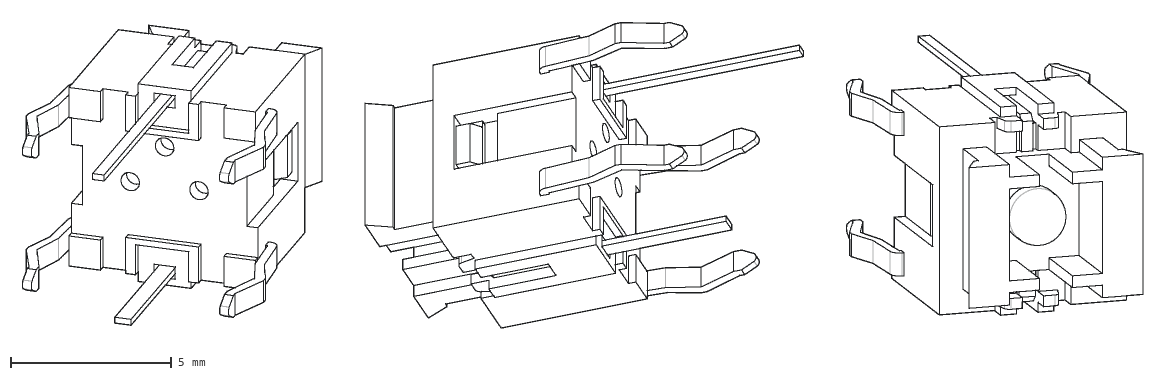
import cadquery as cq


body_half_x = 3.07
body_half_z = 3.03
body_top = 4.61
standoff_height = 0.24
standoff_x = 1.04
standoff_z = 1.02

rib_half_x = 0.87
rib_outer_z = 3.35
rib_top = 4.02
frame_half_x = 1.2
frame_inner_z = 1.8
frame_opening_z = body_half_z - standoff_z

channel_half_x = 0.35
channel_inner_z = 2.69
channel_outer_z = 3.11
channel_open_from = 1.79

pin_outer_z = body_half_z
pin_thickness = 0.2
pin_bend_y = 3.82
long_pin_width = 0.38
long_pin_end = -6.5
short_pin_width = 0.54
short_pin_end = -4.09

notch_half_x = 1.24
ear_base_half_x = 1.0
ear_shoulder_half_x = 0.89
ear_shoulder_y = 4.47
ear_flat_half_x = 0.71
ear_round_radius = 0.19
ear_inner_z = 2.68

plunger_top = 6.95
clip_half_x = 2.29
clip_half_z = 2.26
clip_plate_z = 1.85
hollow_half_x = 1.52
hollow_half_z = 1.48
clip_gap_half_x = 0.54
hollow_floor = 4.56
barb_y = 6.17
barb_base_x = 2.43
barb_tip_x = 2.85

lamp_diameter = 1.8
lamp_dome_y = 5.03

pocket_half_z = 1.0
pocket_floor_x = 2.7
pocket_top = 3.91
window_floor_x = 2.31
window_bottom = 2.61
catch_block_x = 2.54
catch_block_half_z = 0.94
catch_bottom = 3.16
catch_ramp_end = 3.45
catch_tip_x = 2.88
catch_half_z = 0.71

hole_diameter = 0.6
hole_depth = 0.54
hole_centers = [(0, 1.33), (-1.13, 0), (1.13, 0)]

leg_center_z = clip_half_z
leg_width = 0.74
leg_thickness = 0.3
leg_top = 1.04
leg_shoulder_x = 3.13
leg_elbow_outer = (3.52, -0.74)
leg_elbow_inner = (3.23, -0.78)
leg_knee_x = 3.9
leg_knee_upper_y = -1.74
leg_knee_lower_y = -1.94
leg_knee_inner = (3.58, -1.84)
leg_tip_inner_x = 3.1
leg_tip_outer_y = -3.19
leg_tip_inner_y = -3.1
leg_end = -3.85
leg_taper_start = -3.36
leg_taper_end = -3.78
leg_tip_half_z = 0.15


def block(x0, x1, y0, y1, z0, z1):
    """Box between two opposite corners."""
    return cq.Workplane("XY").box(x1 - x0, y1 - y0, z1 - z0, centered=False).translate((x0, y0, z0))


def centered_block(half_x, y0, y1, half_z):
    """Box centred on the Y axis."""
    return block(-half_x, half_x, y0, y1, -half_z, half_z)


def both_x(shape):
    """The shape together with its mirror image on the other X side."""
    return shape.union(shape.mirror("YZ"))


def both_z(shape):
    """The shape together with its mirror image on the other Z side."""
    return shape.union(shape.mirror("XY"))


def make_housing():
    housing = centered_block(body_half_x, 0, body_top, body_half_z)
    corner = block(body_half_x - standoff_x, body_half_x, -standoff_height, 0, frame_opening_z, body_half_z)
    frame = block(-frame_half_x, frame_half_x, -standoff_height, 0, frame_inner_z, body_half_z)
    opening = block(-rib_half_x, rib_half_x, -standoff_height, 0, frame_opening_z, body_half_z)
    rib = block(-rib_half_x, rib_half_x, 0, rib_top, frame_opening_z, rib_outer_z)
    return housing.union(both_z(both_x(corner))).union(both_z(frame.cut(opening))).union(both_z(rib))


def make_plunger():
    right_half = (
        cq.Workplane("XY")
        .polyline([
            (0, hollow_floor),
            (clip_half_x, hollow_floor),
            (clip_half_x, barb_y),
            (barb_base_x, barb_y),
            (barb_tip_x, plunger_top),
            (0, plunger_top),
        ])
        .close()
        .extrude(clip_half_z, both=True)
    )
    plate_relief = block(-hollow_half_x, hollow_half_x, rib_top, plunger_top, clip_plate_z, clip_half_z)
    return both_x(right_half).cut(both_z(plate_relief))


def make_plunger_hollow():
    hollow = centered_block(hollow_half_x, hollow_floor, plunger_top, hollow_half_z)
    gap = centered_block(clip_gap_half_x, hollow_floor, plunger_top, clip_half_z)
    return hollow.union(gap)


def make_lamp():
    radius = lamp_diameter / 2
    return (
        cq.Workplane("XY")
        .moveTo(0, hollow_floor)
        .lineTo(radius, hollow_floor)
        .lineTo(radius, lamp_dome_y)
        .radiusArc((0, lamp_dome_y + radius), -radius)
        .close()
        .revolve(360, (0, 0, 0), (0, 1, 0))
    )


def make_ears():
    ears = (
        cq.Workplane("XY", origin=(0, 0, ear_inner_z))
        .moveTo(-ear_base_half_x, rib_top)
        .lineTo(-ear_shoulder_half_x, ear_shoulder_y)
        .radiusArc((-ear_flat_half_x, body_top), ear_round_radius)
        .lineTo(ear_flat_half_x, body_top)
        .radiusArc((ear_shoulder_half_x, ear_shoulder_y), ear_round_radius)
        .lineTo(ear_base_half_x, rib_top)
        .close()
        .extrude(body_half_z - ear_inner_z)
    )
    return both_z(ears)


def make_notches():
    return both_z(block(-notch_half_x, notch_half_x, rib_top, body_top, clip_plate_z, body_half_z))


def make_channels():
    half = channel_half_x
    tunnel = block(-half, half, 0, pin_bend_y, channel_inner_z, channel_outer_z)
    slot = block(-half, half, channel_open_from, body_top, channel_inner_z, rib_outer_z)
    well = block(-half, half, pin_bend_y, body_top, clip_plate_z, rib_outer_z)
    return both_z(tunnel.union(slot).union(well))


def make_pin(width, end_y):
    inner_z = pin_outer_z - pin_thickness
    bend_top = pin_bend_y + pin_thickness
    return (
        cq.Workplane("YZ")
        .polyline([
            (end_y, inner_z),
            (pin_bend_y, inner_z),
            (pin_bend_y, clip_plate_z),
            (bend_top, clip_plate_z),
            (bend_top, inner_z),
            (pin_bend_y, pin_outer_z),
            (end_y, pin_outer_z),
        ])
        .close()
        .extrude(width / 2, both=True)
    )


def make_pocket():
    half = pocket_half_z
    shallow = block(pocket_floor_x, body_half_x, 0, pocket_top, -half, half)
    window = block(window_floor_x, body_half_x, window_bottom, pocket_top, -half, half)
    return shallow.union(window)


def make_catch():
    base = block(
        window_floor_x, catch_block_x, catch_bottom, pocket_top, -catch_block_half_z, catch_block_half_z
    )
    hook = (
        cq.Workplane("XY")
        .polyline([
            (catch_block_x, catch_bottom),
            (catch_tip_x, catch_ramp_end),
            (catch_tip_x, pocket_top),
            (catch_block_x, pocket_top),
        ])
        .close()
        .extrude(catch_half_z, both=True)
    )
    return base.union(hook)


def make_leg():
    tip_outer_x = leg_tip_inner_x + leg_thickness
    shoulder_y = leg_top - leg_thickness
    bent_strip = (
        cq.Workplane("XY")
        .moveTo(body_half_x, leg_top)
        .lineTo(leg_shoulder_x, leg_top)
        .radiusArc((leg_shoulder_x + leg_thickness, shoulder_y), leg_thickness)
        .lineTo(*leg_elbow_outer)
        .lineTo(leg_knee_x, leg_knee_upper_y)
        .lineTo(leg_knee_x, leg_knee_lower_y)
        .lineTo(tip_outer_x, leg_tip_outer_y)
        .lineTo(tip_outer_x, leg_end)
        .lineTo(leg_tip_inner_x, leg_end)
        .lineTo(leg_tip_inner_x, leg_tip_inner_y)
        .lineTo(*leg_knee_inner)
        .lineTo(*leg_elbow_inner)
        .lineTo(leg_shoulder_x, shoulder_y)
        .lineTo(body_half_x, shoulder_y)
        .close()
        .extrude(leg_width / 2, both=True)
    )
    half = leg_width / 2
    pointed_outline = (
        cq.Workplane("YZ")
        .moveTo(leg_top, -half)
        .lineTo(leg_taper_start, -half)
        .lineTo(leg_taper_end, -leg_tip_half_z)
        .threePointArc((leg_end, 0), (leg_taper_end, leg_tip_half_z))
        .lineTo(leg_taper_start, half)
        .lineTo(leg_top, half)
        .close()
        .extrude(leg_knee_x)
    )
    return bent_strip.intersect(pointed_outline).translate((0, 0, leg_center_z))


def make_holes():
    return cq.Workplane("XZ").pushPoints(hole_centers).circle(hole_diameter / 2).extrude(-hole_depth)


result = (
    make_housing()
    .cut(make_notches())
    .union(make_plunger())
    .union(make_ears())
    .cut(make_plunger_hollow().cut(make_ears()))
    .cut(make_channels())
    .union(make_lamp())
    .union(make_pin(long_pin_width, long_pin_end))
    .union(make_pin(short_pin_width, short_pin_end).mirror("XY"))
    .cut(both_x(make_pocket()))
    .union(both_x(make_catch()))
    .union(both_z(both_x(make_leg())))
    .cut(make_holes())
)